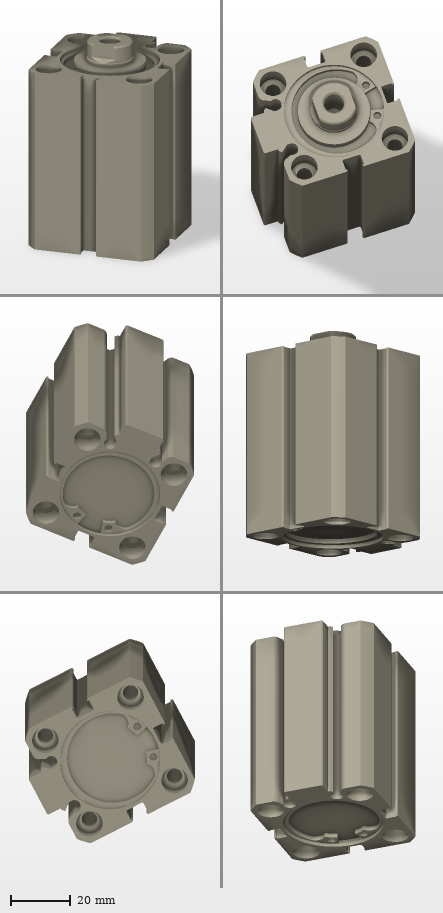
import cadquery as cq
import math

body_width = 45.0
body_length = 63.0
half_width = body_width / 2
corner_radius = 29.5
bore_radius = 17.0

hole_pitch = 32.5
hole_diameter = 5.2
counterbore_diameter = 9.0
counterbore_depth = 7.0

slot_floor = 18.0
slot_half_width = 3.25
slot_mouth_half_width = 2.7
slot_lip = 0.75
slot_flare_radius = 0.5
slot_corner_radius = 0.4

rail_top = 27.5
rail_half_width = 7.1
rail_chamfer = 0.4
rail_lip_half_width = 8.65
rail_lip_y = 21.6
rail_neck_half_width = 6.5
rail_neck_top = 19.0
channel_radius = 2.1
channel_x = 8.6
channel_y = 18.0
channel_wall_bottom_x = 10.3
channel_wall_bottom_y = 18.7
channel_wall_top_x = 11.2
channel_wall_top_y = 20.7
channel_rim_x = 13.1
channel_rim_bulge = 0.4

ring_depth = 1.2
ring_thickness = 1.5
groove_wall = 0.18
ring_radius = slot_floor - groove_wall
ring_opening_radius = 15.5
ring_opening_y = -1.1
lug_inner_radius = 12.5
lug_start_angle = 15.0
lug_end_angle = 48.8
lug_relief_radius = 3.4
lug_relief_x = 9.8
lug_relief_y = -8.25
lug_hole_diameter = 2.7
lug_hole_x = 5.9
lug_hole_y = -13.5

front_cover_thickness = 10.0
rear_cover_thickness = 6.0
boss_radius = 12.25

rod_radius = 8.0
tip_radius = 7.75
rod_projection = 7.0
shoulder_projection = 1.25
tip_chamfer = 0.5
across_flats = 13.0
flat_projection = 2.5
thread_radius = 3.4
thread_depth = 13.0
thread_chamfer = 0.6
drill_point_angle = 118.0

ring_seat = ring_depth + ring_thickness
front_cover_top = body_length - ring_seat
rear_cover_top = ring_seat + rear_cover_thickness
rod_end = body_length + rod_projection


def cylinder(radius, bottom, top):
    return cq.Workplane("XY").workplane(offset=bottom).circle(radius).extrude(top - bottom)


def slot_cutter():
    """T-slot open to -Y, over the full length of the housing."""
    mouth_y = -half_width
    lip_y = mouth_y + slot_lip
    flare_x = slot_mouth_half_width + slot_flare_radius
    flare_y = mouth_y + slot_flare_radius
    floor_x = slot_half_width - slot_corner_radius
    wall_top_y = -slot_floor - slot_corner_radius
    return (
        cq.Workplane("XY")
        .moveTo(-flare_x, mouth_y)
        .radiusArc((-slot_mouth_half_width, flare_y), -slot_flare_radius)
        .lineTo(-slot_mouth_half_width, lip_y)
        .lineTo(-slot_half_width, lip_y)
        .lineTo(-slot_half_width, wall_top_y)
        .radiusArc((-floor_x, -slot_floor), slot_corner_radius)
        .lineTo(floor_x, -slot_floor)
        .radiusArc((slot_half_width, wall_top_y), slot_corner_radius)
        .lineTo(slot_half_width, lip_y)
        .lineTo(slot_mouth_half_width, lip_y)
        .lineTo(slot_mouth_half_width, flare_y)
        .radiusArc((flare_x, mouth_y), -slot_flare_radius)
        .close()
        .extrude(body_length)
    )


def rail():
    """Rail block standing above the +Y face."""
    height = rail_top - channel_y
    return (
        cq.Workplane("XY")
        .center(0, channel_y + height / 2)
        .rect(2 * rail_half_width, height)
        .extrude(body_length)
        .edges("|Z and >Y")
        .chamfer(rail_chamfer)
    )


def channel_cutter():
    """Channel between the rail and the +X corner, with a round bottom."""
    rim_y = half_width
    rim_dx = channel_rim_x - channel_wall_top_x
    rim_dy = rim_y - channel_wall_top_y
    rim_chord = math.hypot(rim_dx, rim_dy)
    rim_middle = (
        (channel_rim_x + channel_wall_top_x) / 2 - channel_rim_bulge * rim_dy / rim_chord,
        (rim_y + channel_wall_top_y) / 2 + channel_rim_bulge * rim_dx / rim_chord,
    )
    opening = (
        cq.Workplane("XY")
        .moveTo(rail_neck_half_width, channel_y)
        .lineTo(rail_neck_half_width, rail_neck_top)
        .lineTo(rail_lip_half_width, rail_lip_y)
        .lineTo(rail_lip_half_width - (rim_y - rail_lip_y), rim_y)
        .lineTo(channel_rim_x, rim_y)
        .threePointArc(rim_middle, (channel_wall_top_x, channel_wall_top_y))
        .lineTo(channel_wall_bottom_x, channel_wall_bottom_y)
        .lineTo(channel_wall_bottom_x, channel_y)
        .close()
        .extrude(body_length)
    )
    bottom = cylinder(channel_radius, 0, body_length).translate((channel_x, channel_y, 0))
    return opening.union(bottom)


def mounting_hole_cutter():
    drill = cylinder(hole_diameter / 2, 0, body_length)
    lower = cylinder(counterbore_diameter / 2, 0, counterbore_depth)
    upper = lower.translate((0, 0, body_length - counterbore_depth))
    return drill.union(lower).union(upper)


def make_housing():
    body = cq.Workplane("XY").rect(body_width, body_width).extrude(body_length)
    body = body.intersect(cylinder(corner_radius, 0, body_length)).union(rail())
    channel = channel_cutter()
    body = body.cut(channel).cut(channel.mirror("YZ"))
    for angle in (-90, 0, 90):
        body = body.cut(slot_cutter().rotate((0, 0, 0), (0, 0, 1), angle))
    for side_x in (-1, 1):
        for side_y in (-1, 1):
            place = (side_x * hole_pitch / 2, side_y * hole_pitch / 2, 0)
            body = body.cut(mounting_hole_cutter().translate(place))
    body = body.cut(cylinder(bore_radius, 0, body_length))
    for groove_bottom in (ring_depth, front_cover_top):
        body = body.cut(cylinder(ring_radius, groove_bottom, groove_bottom + ring_thickness))
    return body


def lug_point(radius, angle):
    """Point at an angle from -Y toward +X."""
    return (radius * math.sin(math.radians(angle)), -radius * math.cos(math.radians(angle)))


def ring_lug():
    """Lug on the +X side: an annular sector with a round relief."""
    middle_angle = (lug_start_angle + lug_end_angle) / 2
    sector = (
        cq.Workplane("XY")
        .moveTo(*lug_point(lug_inner_radius, lug_start_angle))
        .lineTo(*lug_point(bore_radius, lug_start_angle))
        .threePointArc(lug_point(bore_radius, middle_angle), lug_point(bore_radius, lug_end_angle))
        .lineTo(*lug_point(lug_inner_radius, lug_end_angle))
        .threePointArc(
            lug_point(lug_inner_radius, middle_angle), lug_point(lug_inner_radius, lug_start_angle)
        )
        .close()
        .extrude(ring_thickness)
    )
    relief = cylinder(lug_relief_radius, 0, ring_thickness).translate((lug_relief_x, lug_relief_y, 0))
    return sector.cut(relief)


def make_retaining_ring(bottom):
    """Open ring with an eccentric opening and two lugs, one on each side of its gap."""
    ring = cylinder(ring_radius, 0, ring_thickness)
    ring = ring.cut(cylinder(ring_opening_radius, 0, ring_thickness).translate((0, ring_opening_y, 0)))
    reach = 2 * ring_radius
    gap = (
        cq.Workplane("XY")
        .polyline([(0, 0), lug_point(reach, -lug_start_angle), lug_point(reach, lug_start_angle)])
        .close()
        .extrude(ring_thickness)
    )
    lug = ring_lug()
    plier_hole = cylinder(lug_hole_diameter / 2, 0, ring_thickness)
    ring = ring.cut(gap).union(lug).union(lug.mirror("YZ"))
    for side in (-1, 1):
        ring = ring.cut(plier_hole.translate((side * lug_hole_x, lug_hole_y, 0)))
    return ring.translate((0, 0, bottom))


def make_front_cover():
    bottom = front_cover_top - front_cover_thickness
    cover = cylinder(bore_radius, bottom, front_cover_top)
    cover = cover.union(cylinder(boss_radius, front_cover_top, body_length))
    return cover.cut(cylinder(rod_radius, bottom, body_length))


def make_rear_cover():
    return cylinder(bore_radius, ring_seat, rear_cover_top)


def flat_cutter():
    """Wrench flat on the -Y side, running out at 45 degrees below."""
    flat_y = -across_flats / 2
    flat_bottom = body_length + flat_projection
    outer_y = -2 * rod_radius
    return (
        cq.Workplane("YZ")
        .polyline([
            (flat_y, rod_end),
            (flat_y, flat_bottom),
            (outer_y, flat_bottom + outer_y - flat_y),
            (outer_y, rod_end),
        ])
        .close()
        .extrude(rod_radius, both=True)
    )


def thread_hole_cutter():
    point_depth = thread_radius / math.tan(math.radians(drill_point_angle / 2))
    return (
        cq.Workplane("XZ")
        .moveTo(0, rod_end)
        .lineTo(thread_radius + thread_chamfer, rod_end)
        .lineTo(thread_radius, rod_end - thread_chamfer)
        .lineTo(thread_radius, rod_end - thread_depth)
        .lineTo(0, rod_end - thread_depth - point_depth)
        .close()
        .revolve(360, (0, 0, 0), (0, 1, 0))
    )


def make_rod():
    shoulder = body_length + shoulder_projection
    rod = cylinder(rod_radius, rear_cover_top, shoulder).faces(">Z").chamfer(rod_radius - tip_radius)
    tip = cylinder(tip_radius, shoulder, rod_end).faces(">Z").chamfer(tip_chamfer)
    flat = flat_cutter()
    return rod.union(tip).cut(flat).cut(flat.mirror("XZ")).cut(thread_hole_cutter())


housing = make_housing()
front_cover = make_front_cover()
rear_cover = make_rear_cover()
rod = make_rod()
rings = [make_retaining_ring(bottom) for bottom in (ring_depth, front_cover_top)]

result = cq.Compound.makeCompound([
    housing.val(),
    front_cover.val(),
    rear_cover.val(),
    rod.val(),
    *[ring.val() for ring in rings],
])